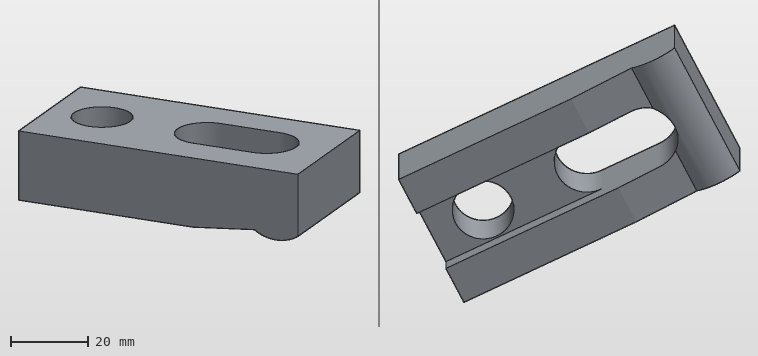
import cadquery as cq

length = 80.0
width = 38.0
height = 19.0

ramp_start_x = 50.0
nose_start_x = 67.5
nose_rise = 1.9
nose_center_x = (nose_start_x + length) / 2

hole_diameter = 16.0
hole_x = 15.0
slot_width = 17.0
slot_length = 33.9
slot_center_x = 53.6

groove_depth = 5.0


def clamp_body():
    """Side profile with the ramp and nose, extruded across the width."""
    return (
        cq.Workplane("XZ")
        .moveTo(0, 0)
        .lineTo(ramp_start_x, 0)
        .lineTo(nose_start_x, nose_rise)
        .threePointArc((nose_center_x, 0), (length, nose_rise))
        .lineTo(length, height)
        .lineTo(0, height)
        .close()
        .extrude(width / 2, both=True)
    )


def round_hole():
    return cq.Workplane("XY").center(hole_x, 0).circle(hole_diameter / 2).extrude(height)


def long_slot():
    return cq.Workplane("XY").center(slot_center_x, 0).slot2D(slot_length, slot_width).extrude(height)


def bottom_groove():
    """Groove as wide as the slot, ending inside the slot."""
    return cq.Workplane("XY").box(slot_center_x, slot_width, groove_depth, centered=(False, True, False))


result = clamp_body().cut(round_hole()).cut(long_slot()).cut(bottom_groove())